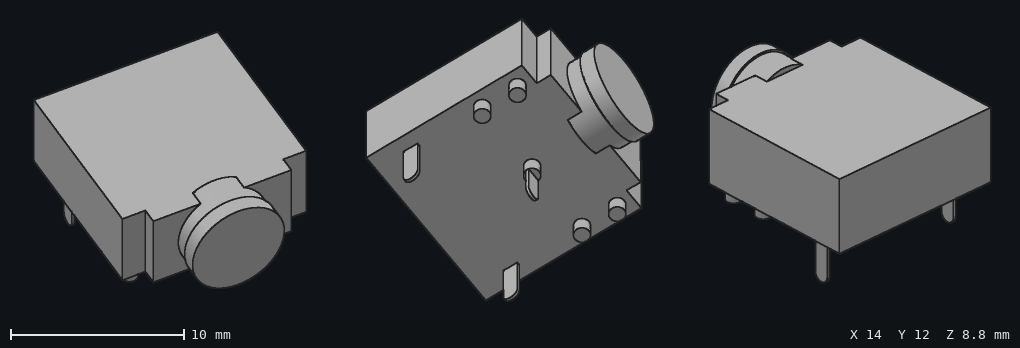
import cadquery as cq


total_length = 14.0
block_width = 12.0
block_height = 5.0
block_length = 11.0
step_depth = 1.0
step_width = 9.0

barrel_radius = 2.87
collar_radius = 3.0
collar_length = 1.0
axis_height = block_height / 2

peg_diameter = 1.0
peg_height = 1.0
row_offset = 5.0
rear_peg_x = 7.5
front_peg_x = 10.0
peg_centres = [
    (rear_peg_x, -row_offset),
    (rear_peg_x, 0),
    (rear_peg_x, row_offset),
    (front_peg_x, -row_offset),
    (front_peg_x, row_offset),
]

pin_width = peg_diameter
pin_thickness = 0.2
pin_reach = 3.3
side_pin_x = 2.5


def make_block():
    """Rectangular block with a narrower, full-height step in front."""
    block = cq.Workplane("XY").box(block_length, block_width, block_height, centered=(False, True, False))
    step = (
        cq.Workplane("XY", origin=(block_length, 0, 0))
        .box(step_depth, step_width, block_height, centered=(False, True, False))
    )
    return block.union(step)


def make_barrel():
    """Solid barrel along X, starting at the block front and ending in a collar."""
    collar_start = total_length - collar_length
    barrel = (
        cq.Workplane("YZ", origin=(block_length, 0, axis_height))
        .circle(barrel_radius)
        .extrude(collar_start - block_length)
    )
    collar = (
        cq.Workplane("YZ", origin=(collar_start, 0, axis_height))
        .circle(collar_radius)
        .extrude(collar_length)
    )
    return barrel.union(collar)


def make_pegs():
    """Round pegs hanging from the underside of the block."""
    return cq.Workplane("XY").pushPoints(peg_centres).circle(peg_diameter / 2).extrude(-peg_height)


def make_pin(x, y, plane, top=0):
    """Flat pin hanging down from height top, with its broad face in the given plane."""
    half_width = pin_width / 2
    tip_start = half_width - pin_reach
    return (
        cq.Workplane(plane, origin=(x, y, 0))
        .moveTo(-half_width, top)
        .lineTo(-half_width, tip_start)
        .threePointArc((0, -pin_reach), (half_width, tip_start))
        .lineTo(half_width, top)
        .close()
        .extrude(pin_thickness / 2, both=True)
    )


def make_housing():
    """Block, barrel and pegs in one piece, with the middle pin continuing the middle peg."""
    middle_pin = make_pin(rear_peg_x, 0, "YZ", top=-peg_height)
    return make_block().union(make_barrel()).union(make_pegs()).union(middle_pin)


housing = make_housing()
side_pins = [make_pin(side_pin_x, side * row_offset, "XZ") for side in (-1, 1)]

result = cq.Compound.makeCompound([housing.val(), *[pin.val() for pin in side_pins]])